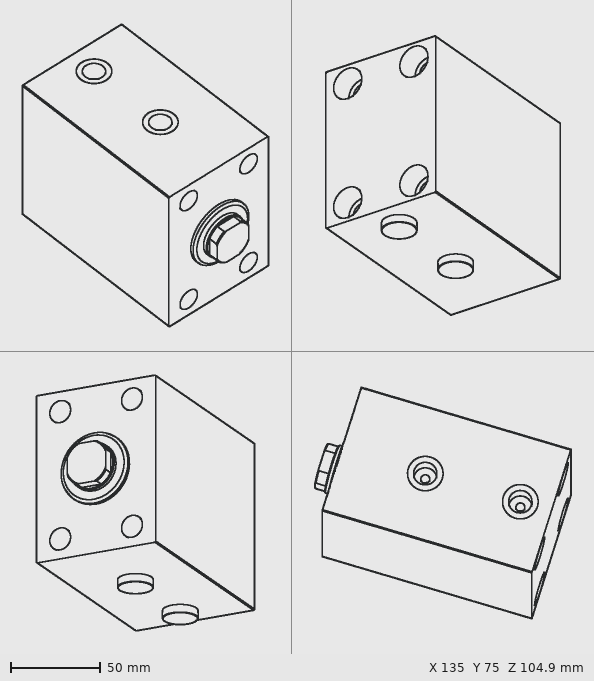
import cadquery as cq


BLOCK_LENGTH = 123.0
BLOCK_WIDTH = 75.0
BLOCK_HEIGHT = 100.0
EDGE_CHAMFER = 0.5
BORE_START = 10.0

BOLT_SPACING_Y = 45.1
BOLT_SPACING_Z = 76.1
BOLT_HOLE_DIAMETER = 13.1
BOLT_HEAD_DIAMETER = 19.2
BOLT_HEAD_DEPTH = 15.0

PORT_POSITIONS = [18.2, 74.0]
SPOTFACE_DIAMETER = 20.0
SPOTFACE_DEPTH = 0.1
PORT_DIAMETER = 13.1
PORT_DEPTH = 12.0
DRILLING_DIAMETER = 5.0

PLUG_DIAMETER = SPOTFACE_DIAMETER
PLUG_HEIGHT = 4.9
PLUG_CHAMFER = 0.3

GLAND_DIAMETER = 42.0
GLAND_START = PORT_POSITIONS[1]
GLAND_PROTRUSION = 3.0
GLAND_CHAMFER_LENGTH = 1.1
GLAND_CHAMFER_HEIGHT = 1.9
GLAND_END = BLOCK_LENGTH + GLAND_PROTRUSION

ROD_DIAMETER = 28.1
ROD_TIP_DIAMETER = 27.0
ROD_SHOULDER_CHAMFER = (ROD_DIAMETER - ROD_TIP_DIAMETER) / 2
ROD_TIP_CHAMFER = 0.5
ROD_END = 135.0
FLAT_START = 128.8
FLAT_WIDTH = 24.0


def revolved(profile):
    """Turn a profile of (x, radius) points about the X axis."""
    return cq.Workplane("XZ").polyline(profile).close().revolve(360, (0, 0, 0), (1, 0, 0))


def make_block():
    block = (
        cq.Workplane("XY")
        .box(BLOCK_LENGTH, BLOCK_WIDTH, BLOCK_HEIGHT)
        .translate((BLOCK_LENGTH / 2, 0, 0))
        .edges("|X")
        .chamfer(EDGE_CHAMFER)
    )
    block = (
        block.faces("<X")
        .workplane(origin=(0, 0, 0))
        .rarray(BOLT_SPACING_Y, BOLT_SPACING_Z, 2, 2)
        .cboreHole(BOLT_HOLE_DIAMETER, BOLT_HEAD_DIAMETER, BOLT_HEAD_DEPTH)
    )
    for port_x in PORT_POSITIONS:
        block = block.cut(make_port_cutter(port_x))
    bore_radius = GLAND_DIAMETER / 2
    bore = revolved(
        [(BORE_START, 0), (BORE_START, bore_radius), (BLOCK_LENGTH, bore_radius), (BLOCK_LENGTH, 0)]
    )
    return block.cut(bore)


def make_port_cutter(port_x):
    """Spotface, port and narrow drilling down to the cylinder axis."""
    top = cq.Workplane("XY", origin=(port_x, 0, BLOCK_HEIGHT / 2))
    spotface = top.circle(SPOTFACE_DIAMETER / 2).extrude(-SPOTFACE_DEPTH)
    port = top.circle(PORT_DIAMETER / 2).extrude(-PORT_DEPTH)
    drilling = top.circle(DRILLING_DIAMETER / 2).extrude(-BLOCK_HEIGHT / 2)
    return spotface.union(port).union(drilling)


def make_plug(port_x):
    return (
        cq.Workplane("XY", origin=(port_x, 0, -BLOCK_HEIGHT / 2))
        .circle(PLUG_DIAMETER / 2)
        .extrude(-PLUG_HEIGHT)
        .faces("<Z")
        .chamfer(PLUG_CHAMFER)
    )


def make_gland():
    outer_radius = GLAND_DIAMETER / 2
    inner_radius = ROD_DIAMETER / 2
    return revolved(
        [
            (GLAND_START, inner_radius),
            (GLAND_START, outer_radius),
            (GLAND_END - GLAND_CHAMFER_LENGTH, outer_radius),
            (GLAND_END, outer_radius - GLAND_CHAMFER_HEIGHT),
            (GLAND_END, inner_radius),
        ]
    )


def make_piston():
    """Piston filling the bore, with its rod and the four wrench flats on the tip."""
    piston_radius = GLAND_DIAMETER / 2
    rod_radius = ROD_DIAMETER / 2
    tip_radius = ROD_TIP_DIAMETER / 2
    piston = revolved(
        [
            (BORE_START, 0),
            (BORE_START, piston_radius),
            (GLAND_START, piston_radius),
            (GLAND_START, rod_radius),
            (FLAT_START - ROD_SHOULDER_CHAMFER, rod_radius),
            (FLAT_START, tip_radius),
            (ROD_END - ROD_TIP_CHAMFER, tip_radius),
            (ROD_END, tip_radius - ROD_TIP_CHAMFER),
            (ROD_END, 0),
        ]
    )
    flats = (
        cq.Workplane("YZ", origin=(FLAT_START, 0, 0))
        .rect(ROD_DIAMETER, ROD_DIAMETER)
        .rect(FLAT_WIDTH, FLAT_WIDTH)
        .extrude(ROD_END - FLAT_START)
    )
    return piston.cut(flats)


block = make_block()
gland = make_gland()
piston = make_piston()
plugs = [make_plug(port_x) for port_x in PORT_POSITIONS]

result = cq.Compound.makeCompound(
    [block.val(), gland.val(), piston.val(), *[plug.val() for plug in plugs]]
)